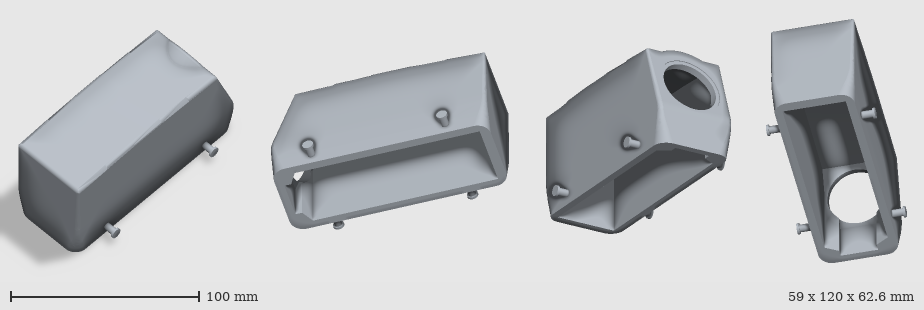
import cadquery as cq
import math

LENGTH = 120.0
END_Y = LENGTH / 2
HALF_WIDTH = 22.7
OVERALL_WIDTH = 59.0

BASE_FLARE_TOP = 7.0
BEND_Z = 23.5
SIDE_TAPER = math.radians(3.8)
BEND_STEPS = 6
BLEND_STEPS = 2

BASE_CORNER = 7.5
FLARE_CORNER = 5.3
BEND_CORNER = 2.2
TOP_CORNER = 1.1

SLOPE = math.radians(20)
SLOPE_BLEND_Z = 18.7
END_DRAFT = math.radians(0.9)
BLANK_TOP = 64.8
CREST_Z = 61.1
CREST_Y = -2.5
CROWN_RADIUS = 696.0
TOP_FILLET = 2.2

ENTRY_Y = 53.6
ENTRY_RADIUS = 15.8
FACE_RADIUS = 18.0
FACE_DEPTH = 0.5
ENTRY_DEPTH = 9.6
COLLAR_RADIUS = 26.0
COLLAR_DEPTH = 31.2
COLLAR_HALF_WIDTH = 16.8
COLLAR_FLOOR = 52.8
COLLAR_EDGE_FILLET = 2.0
COLLAR_ROOT_FILLET = 2.0

WALL = 4.5
SLOT_HALF_WIDTH = 10.3
SLOT_START_Y = 51.8
FLARE_ANGLE = math.radians(60)

PIN_Y = 37.1
PIN_Z = 6.1
PIN_RADIUS = 2.0
PIN_HEAD_RADIUS = 3.0
PIN_HEAD_LENGTH = 1.3

CLEARANCE = 3.6

SIDE_BEND_RADIUS = (BEND_Z - BASE_FLARE_TOP) / math.sin(SIDE_TAPER)
SLOPE_BEND_RADIUS = (BEND_Z - SLOPE_BLEND_Z) / math.sin(SLOPE)
SLOPE_FOOT_Y = END_Y - SLOPE_BEND_RADIUS * (1 - math.cos(SLOPE))
ENTRY_Z = BEND_Z + (SLOPE_FOOT_Y - ENTRY_Y) / math.tan(SLOPE)


def half_width_at(z):
    """Half width of the body: straight taper, then an arc tangent to the upright sides."""
    if z >= BEND_Z:
        return HALF_WIDTH
    arc_z = max(z, BASE_FLARE_TOP)
    rise = BEND_Z - arc_z
    sag = SIDE_BEND_RADIUS - math.sqrt(SIDE_BEND_RADIUS**2 - rise**2)
    return HALF_WIDTH - sag - (arc_z - z) * math.tan(SIDE_TAPER)


def entry_end_at(z):
    """Y of the +Y end: upright, then bent back to the sloped entry face."""
    if z >= BEND_Z:
        return SLOPE_FOOT_Y - (z - BEND_Z) * math.tan(SLOPE)
    rise = max(z - SLOPE_BLEND_Z, 0)
    return END_Y - SLOPE_BEND_RADIUS + math.sqrt(SLOPE_BEND_RADIUS**2 - rise**2)


def plain_end_at(z):
    """Y of the -Y end: slightly drafted."""
    return -END_Y + z * math.tan(END_DRAFT)


def corner_at(z):
    """Corner radius of the plan outline, shrinking with height."""
    if z <= BASE_FLARE_TOP:
        return BASE_CORNER + (FLARE_CORNER - BASE_CORNER) * z / BASE_FLARE_TOP
    if z <= BEND_Z:
        left = (BEND_Z - z) / (BEND_Z - BASE_FLARE_TOP)
        return BEND_CORNER + (FLARE_CORNER - BEND_CORNER) * left**2
    climb = (z - BEND_Z) / (BLANK_TOP - BEND_Z)
    return BEND_CORNER + (TOP_CORNER - BEND_CORNER) * climb


def corner_waste(z, side, end):
    """Outline at height z of the material outside one rounded corner; side and end are -1 or 1."""
    radius = corner_at(z)
    side_x = side * half_width_at(z)
    end_y = entry_end_at(z) if end > 0 else plain_end_at(z)
    centre_x = side_x - side * radius
    centre_y = end_y - end * radius
    outside_x = side_x + side * CLEARANCE
    outside_y = end_y + end * CLEARANCE
    diagonal = radius * math.cos(math.radians(45))
    return (
        cq.Workplane("XY", origin=(0, 0, z))
        .moveTo(side_x, centre_y)
        .threePointArc((centre_x + side * diagonal, centre_y + end * diagonal), (centre_x, end_y))
        .lineTo(centre_x, outside_y)
        .lineTo(outside_x, outside_y)
        .lineTo(outside_x, centre_y)
        .close()
        .wire()
        .val()
    )


def evenly(start, stop, steps):
    """Heights from start to stop in equal steps."""
    return [start + (stop - start) * i / steps for i in range(steps + 1)]


def round_corner(body, side, end):
    """Cut one upright corner to its radius, which shrinks with height."""
    straight_stretches = [(0, BASE_FLARE_TOP), (BEND_Z, BLANK_TOP)]
    if end > 0:
        curved_stretches = [
            evenly(BASE_FLARE_TOP, SLOPE_BLEND_Z, BEND_STEPS),
            evenly(SLOPE_BLEND_Z, BEND_Z, BLEND_STEPS),
        ]
    else:
        curved_stretches = [evenly(BASE_FLARE_TOP, BEND_Z, BEND_STEPS)]
    for stretches, ruled in ((straight_stretches, True), (curved_stretches, False)):
        for levels in stretches:
            waste = cq.Solid.makeLoft([corner_waste(z, side, end) for z in levels], ruled)
            body = body.cut(cq.Workplane(obj=waste))
    return body


def below_crown(drop, half_width):
    """Everything under the crowned top, lowered by drop."""
    return (
        cq.Workplane("YZ")
        .center(CREST_Y, CREST_Z - CROWN_RADIUS)
        .circle(CROWN_RADIUS - drop)
        .extrude(half_width, both=True)
    )


def entry_cylinder(radius, depth):
    """Cylinder running into the body, square to the sloped face."""
    inward = cq.Vector(0, -math.cos(SLOPE), -math.sin(SLOPE))
    origin = cq.Vector(0, ENTRY_Y, ENTRY_Z)
    return cq.Workplane(obj=cq.Solid.makeCylinder(radius, depth, origin, inward))


def make_outer_block():
    """Outer block: side profile crossed with end profile, crowned, with rounded edges."""
    bend_middle = (BASE_FLARE_TOP + BEND_Z) / 2
    half_prism = (
        cq.Workplane("XZ")
        .lineTo(half_width_at(0), 0)
        .lineTo(half_width_at(BASE_FLARE_TOP), BASE_FLARE_TOP)
        .threePointArc((half_width_at(bend_middle), bend_middle), (HALF_WIDTH, BEND_Z))
        .lineTo(HALF_WIDTH, BLANK_TOP)
        .lineTo(0, BLANK_TOP)
        .close()
        .extrude(LENGTH, both=True)
    )
    blend_middle = (SLOPE_BLEND_Z + BEND_Z) / 2
    side_prism = (
        cq.Workplane("YZ")
        .moveTo(plain_end_at(0), 0)
        .lineTo(END_Y, 0)
        .lineTo(END_Y, SLOPE_BLEND_Z)
        .threePointArc((entry_end_at(blend_middle), blend_middle), (SLOPE_FOOT_Y, BEND_Z))
        .lineTo(entry_end_at(BLANK_TOP), BLANK_TOP)
        .lineTo(plain_end_at(BLANK_TOP), BLANK_TOP)
        .close()
        .extrude(LENGTH, both=True)
    )
    end_prism = half_prism.union(half_prism.mirror("YZ"))
    block = end_prism.intersect(side_prism).intersect(below_crown(0, LENGTH))
    return block.faces(">Z").edges().fillet(TOP_FILLET)


def add_collar(body):
    """Raised collar around the top of the cable entry, flush with the sloped face."""
    collar = entry_cylinder(COLLAR_RADIUS, COLLAR_DEPTH).edges(">Z").fillet(COLLAR_EDGE_FILLET)
    clip = cq.Workplane().box(
        2 * COLLAR_HALF_WIDTH, LENGTH, BLANK_TOP - COLLAR_FLOOR, centered=(True, True, False)
    )
    collar = collar.intersect(clip.translate((0, 0, COLLAR_FLOOR)))
    behind_collar = cq.selectors.NearestToPointSelector((0, ENTRY_Y - COLLAR_DEPTH / 2, CREST_Z))
    return body.union(collar).edges(behind_collar).fillet(COLLAR_ROOT_FILLET)


def make_cavity():
    """Hollow open at the base, narrowing to a slot below the cable entry."""
    inner_half_width = half_width_at(0) - WALL
    flare_length = (inner_half_width - SLOT_HALF_WIDTH) / math.tan(FLARE_ANGLE)
    plain_end = plain_end_at(CREST_Z) + WALL
    full_width_end = SLOT_START_Y - flare_length
    plan_prism = (
        cq.Workplane("XY")
        .moveTo(SLOT_HALF_WIDTH, END_Y)
        .lineTo(SLOT_HALF_WIDTH, SLOT_START_Y)
        .lineTo(inner_half_width, full_width_end)
        .lineTo(inner_half_width, plain_end)
        .lineTo(0, plain_end)
        .lineTo(0, END_Y)
        .close()
        .extrude(BLANK_TOP)
    )
    plan_prism = plan_prism.union(plan_prism.mirror("YZ"))
    slope_wall = WALL / math.cos(SLOPE)
    slope_top = entry_end_at(BLANK_TOP) - slope_wall
    inner_foot = END_Y - WALL
    inner_foot_z = BEND_Z + (SLOPE_FOOT_Y - slope_wall - inner_foot) / math.tan(SLOPE)
    side_prism = (
        cq.Workplane("YZ")
        .polyline([
            (-END_Y, 0),
            (inner_foot, 0),
            (inner_foot, inner_foot_z),
            (slope_top, BLANK_TOP),
            (-END_Y, BLANK_TOP),
        ])
        .close()
        .extrude(HALF_WIDTH, both=True)
    )
    return plan_prism.intersect(side_prism).intersect(below_crown(WALL, HALF_WIDTH))


def make_pin(side, y):
    """Headed locking pin standing out of a side wall; side is -1 or 1."""
    root = half_width_at(PIN_Z) - WALL / 2
    tip = OVERALL_WIDTH / 2
    outward = cq.Vector(side, 0, 0)
    shaft = cq.Solid.makeCylinder(PIN_RADIUS, tip - root, cq.Vector(side * root, y, PIN_Z), outward)
    head_start = cq.Vector(side * (tip - PIN_HEAD_LENGTH), y, PIN_Z)
    head = cq.Solid.makeCylinder(PIN_HEAD_RADIUS, PIN_HEAD_LENGTH, head_start, outward)
    return cq.Workplane(obj=shaft).union(cq.Workplane(obj=head))


body = make_outer_block()
for side in (-1, 1):
    for end in (-1, 1):
        body = round_corner(body, side, end)
body = add_collar(body)
body = body.cut(make_cavity())
body = body.cut(entry_cylinder(ENTRY_RADIUS, ENTRY_DEPTH))
body = body.cut(entry_cylinder(FACE_RADIUS, FACE_DEPTH))
for side in (-1, 1):
    for y in (-PIN_Y, PIN_Y):
        body = body.union(make_pin(side, y))
result = body